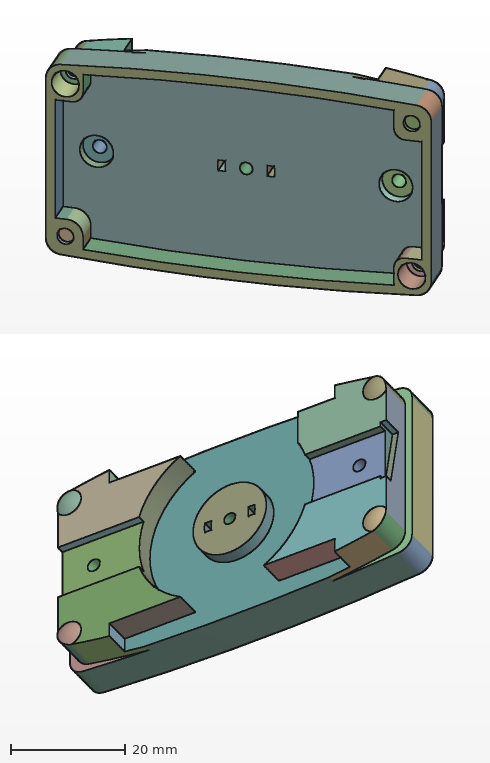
import cadquery as cq
import math


pocket_depth = 5.05
rim_depth = 7.0
plate_back = 8.25
boss_back = 10.8
channel_floor = 11.8
pad_back = 13.4
dome_back = 14.1

rim_half_length = 35.0
rim_half_width = 19.45
rim_bow_radius = 434.0
rim_corner_radius = 2.95
wall = 1.75

pad_half_length = 33.6
pad_crown = 20.15
pad_bow_radius = 161.0
pad_corner_radius = 3.2

post_inner_x = 28.2
post_inner_z = 11.35
post_radius = 2.0
large_post_radius = 3.0
corner_hole_x = 31.4
corner_hole_z = 14.6
pin_hole_diameter = 3.0
pin_hole_depth = 1.05
corner_bore_diameter = 5.0
corner_bore_depth = 5.6

screw_x = 27.15
screw_diameter = 2.5
screw_head_diameter = 6.1
screw_head_depth = 2.1
axle_diameter = 2.3
slot_inner_x = 3.8
slot_outer_diameter = 10.35
slot_height = 2.0

dial_diameter = 35.7
boss_diameter = 15.0
side_gap_half_length = 23.0
side_gap_half_width = 15.7
side_opening_x = -15.55
channel_half_width = 5.5
ramp_length = 1.2
ramp_low_y = 9.3
ramp_top_z = 6.45
ramp_bottom_z = -6.0
dome_sphere_diameter = 10.35

corner_signs = [(-1, 1), (1, 1), (-1, -1), (1, -1)]


def face_at(y):
    """Sketch plane at depth y; its axes are X and Z, and it extrudes positively toward -Y."""
    return cq.Workplane("XZ", origin=(0, y, 0))


def cylinder(x, z, diameter, y_start, y_end):
    return face_at(y_start).center(x, z).circle(diameter / 2).extrude(y_start - y_end)


def block(x_range, y_range, z_range):
    (x0, x1), (y0, y1), (z0, z1) = x_range, y_range, z_range
    return cq.Workplane().box(x1 - x0, y1 - y0, z1 - z0, centered=False).translate((x0, y0, z0))


def bowed_plate(half_length, crown, bow_radius, y_start, y_end):
    """Plate with straight ends and long sides bowed out to the crown at mid-length."""
    end_z = crown - bow_radius + math.sqrt(bow_radius**2 - half_length**2)
    return (
        face_at(y_start)
        .moveTo(-half_length, -end_z)
        .threePointArc((0, -crown), (half_length, -end_z))
        .lineTo(half_length, end_z)
        .threePointArc((0, crown), (-half_length, end_z))
        .close()
        .extrude(y_start - y_end)
    )


def rim_plate(y_start, y_end):
    plate = bowed_plate(rim_half_length, rim_half_width, rim_bow_radius, y_start, y_end)
    return plate.edges("|Y").fillet(rim_corner_radius)


def pad_plate(y_start, y_end):
    plate = bowed_plate(pad_half_length, pad_crown, pad_bow_radius, y_start, y_end)
    return plate.edges("|Y").fillet(pad_corner_radius)


def pocket():
    """Space inside the rim walls, with a post left standing in each corner."""
    space = bowed_plate(
        rim_half_length - wall, rim_half_width - wall, rim_bow_radius - wall, 0, pocket_depth
    )
    for sign_x, sign_z in corner_signs:
        is_large = (sign_x, sign_z) == (-1, -1)
        radius = large_post_radius if is_large else post_radius
        xs = sorted((sign_x * post_inner_x, sign_x * rim_half_length))
        zs = sorted((sign_z * post_inner_z, sign_z * rim_half_width))
        inner_edge = "|Y and " + ("<X" if sign_x > 0 else ">X")
        post = block(xs, (0, pocket_depth), zs).edges(inner_edge)
        post = post.edges("<Z" if sign_z > 0 else ">Z").fillet(radius)
        space = space.cut(post)
    return space


def pads():
    """Raised back pads around the round dial recess."""
    raised = pad_plate(plate_back, pad_back)
    pad_depth = (plate_back, pad_back)
    raised = raised.cut(cylinder(0, 0, dial_diameter, plate_back, pad_back))
    gap_x = (-side_gap_half_length, side_gap_half_length)
    raised = raised.cut(block(gap_x, pad_depth, (side_gap_half_width, pad_crown)))
    raised = raised.cut(block(gap_x, pad_depth, (-pad_crown, -side_gap_half_width)))
    raised = raised.cut(block((side_opening_x, 0), pad_depth, (0, pad_crown)))
    channel_z = (-channel_half_width, channel_half_width)
    channel_x = (-pad_half_length, pad_half_length)
    raised = raised.cut(block(channel_x, (channel_floor, pad_back), channel_z))
    return raised.cut(end_ramp())


def end_ramp():
    """Wedge-shaped notch in the -X end, deepest at its upper side."""
    return (
        cq.Workplane("YZ", origin=(-pad_half_length, 0, 0))
        .moveTo(channel_floor, ramp_bottom_z)
        .lineTo(pad_back, ramp_bottom_z)
        .lineTo(pad_back, ramp_top_z)
        .lineTo(ramp_low_y, ramp_top_z)
        .close()
        .extrude(ramp_length)
    )


def corner_domes():
    """Shallow spherical caps, trimmed to the pad outline."""
    sphere_radius = dome_sphere_diameter / 2
    trim = pad_plate(plate_back, dome_back)
    domes = cq.Workplane()
    for sign_x, sign_z in corner_signs:
        center = (sign_x * corner_hole_x, dome_back - sphere_radius, sign_z * corner_hole_z)
        domes = domes.add(cq.Workplane().sphere(sphere_radius).translate(center).intersect(trim))
    return domes.combine()


def corner_holes():
    """Blind holes in the posts; two opposite corners start with a wide bore."""
    holes = cq.Workplane()
    for sign_x, sign_z in corner_signs:
        x = sign_x * corner_hole_x
        z = sign_z * corner_hole_z
        start = 0
        if sign_x != sign_z:
            start = corner_bore_depth
            holes = holes.add(cylinder(x, z, corner_bore_diameter, 0, start))
        holes = holes.add(cylinder(x, z, pin_hole_diameter, start, start + pin_hole_depth))
    return holes.combine()


def plate_holes():
    """Counterbored screw holes at the ends, axle hole and two slots in the middle."""
    holes = cq.Workplane().add(cylinder(0, 0, axle_diameter, 0, pad_back))
    for sign in (-1, 1):
        x = sign * screw_x
        holes = holes.add(cylinder(x, 0, screw_diameter, 0, pad_back))
        holes = holes.add(cylinder(x, 0, screw_head_diameter, 0, pocket_depth + screw_head_depth))
        slot_x = sorted((sign * slot_inner_x, sign * slot_outer_diameter / 2))
        slot = block(slot_x, (0, pad_back), (-slot_height / 2, slot_height / 2))
        holes = holes.add(slot.intersect(cylinder(0, 0, slot_outer_diameter, 0, pad_back)))
    return holes.combine()


step = rim_plate(rim_depth, plate_back).intersect(pad_plate(rim_depth, plate_back))
body = rim_plate(0, rim_depth).union(step).union(pads()).union(corner_domes())
body = body.union(cylinder(0, 0, boss_diameter, plate_back, boss_back))
result = body.cut(pocket()).cut(corner_holes()).cut(plate_holes())